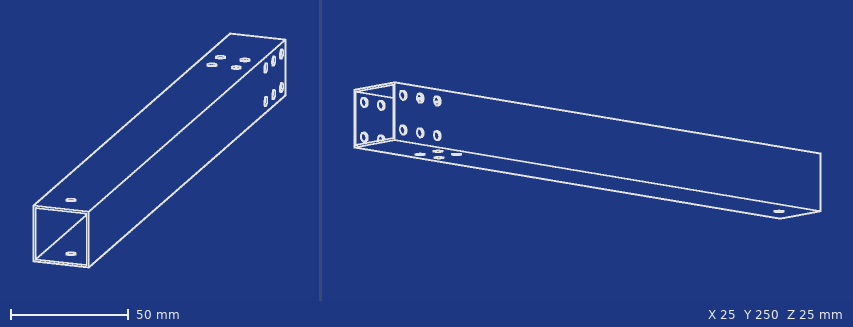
import cadquery as cq

length = 250.0
width = 25.0
wall = 1.0

hole_diameter = 4.0

top_group_pitch = 11.0
top_group_from_end = 37.5
single_hole_from_end = 12.5

side_first_from_end = 5.0
side_pitch = 10.0
side_row_spacing = 15.0
side_columns = 3

back_end = length / 2
front_end = -length / 2


def square_tube():
    inner_width = width - 2 * wall
    outer = cq.Workplane("XY").box(width, length, width)
    inner = cq.Workplane("XY").box(inner_width, length, inner_width)
    return outer.cut(inner)


def vertical_drills():
    half_pitch = top_group_pitch / 2
    group_y = back_end - top_group_from_end
    points = [(0, front_end + single_hole_from_end)]
    for x in (-half_pitch, half_pitch):
        for y in (group_y - half_pitch, group_y + half_pitch):
            points.append((x, y))
    drills = cq.Workplane("XY").pushPoints(points)
    return drills.circle(hole_diameter / 2).extrude(width, both=True)


def horizontal_drills():
    points = []
    for column in range(side_columns):
        y = back_end - side_first_from_end - column * side_pitch
        for z in (-side_row_spacing / 2, side_row_spacing / 2):
            points.append((y, z))
    drills = cq.Workplane("YZ").pushPoints(points)
    return drills.circle(hole_diameter / 2).extrude(width, both=True)


result = square_tube().cut(vertical_drills()).cut(horizontal_drills())